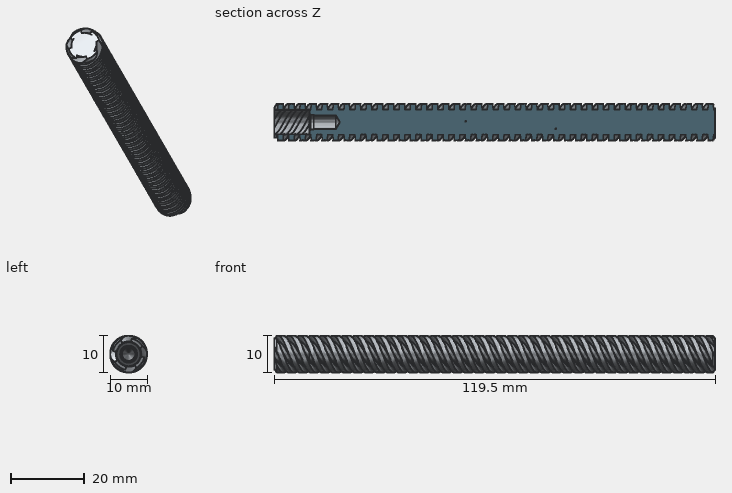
import cadquery as cq
import math

length = 119.5
major_diameter = 10.0
end_chamfer = 0.7
cutter_clearance = 1.2

root_diameter = 6.9
starts = 4
pitch = 3.0
crest_fraction = 0.5
root_fraction = 0.42
thread_phase = 36.0

counterbore_diameter = 6.5
counterbore_depth = 9.6
hole_mouth_diameter = 4.7
hole_entry_diameter = 4.0
hole_entry_depth = 1.2
hole_diameter = 3.6
hole_depth = 16.7
mouth_angle = 90.0
drill_tip_angle = 118.0

major_radius = major_diameter / 2
root_radius = root_diameter / 2
lead = starts * pitch


def polar(radius, angle):
    """Point at a radius and an angle in degrees."""
    return (radius * math.cos(math.radians(angle)), radius * math.sin(math.radians(angle)))


def cone_depth(large_diameter, small_diameter, included_angle):
    """Axial length of a cone between two diameters."""
    return (large_diameter - small_diameter) / 2 / math.tan(math.radians(included_angle / 2))


def thread_section():
    """Cross-section of the multi-start thread; straight axial flanks become spirals here."""
    sector = 360.0 / starts
    crest_angle = sector * crest_fraction
    root_angle = sector * root_fraction
    flank_angle = (sector - crest_angle - root_angle) / 2

    def flank(start_angle, start_radius, end_radius):
        rise = end_radius - start_radius
        return lambda t: polar(start_radius + rise * t, start_angle + flank_angle * t)

    edges = []
    for index in range(starts):
        crest_middle = thread_phase + index * sector
        crest_start = crest_middle - crest_angle / 2
        crest_end = crest_start + crest_angle
        root_start = crest_end + flank_angle
        root_end = root_start + root_angle
        outline = (
            cq.Workplane("YZ")
            .moveTo(*polar(major_radius, crest_start))
            .threePointArc(polar(major_radius, crest_middle), polar(major_radius, crest_end))
            .parametricCurve(flank(crest_end, major_radius, root_radius), N=12, makeWire=False)
            .moveTo(*polar(root_radius, root_start))
            .threePointArc(polar(root_radius, root_start + root_angle / 2), polar(root_radius, root_end))
            .parametricCurve(flank(root_end, root_radius, major_radius), N=12, makeWire=False)
        )
        edges += outline.ctx.pendingEdges
    return cq.Wire.assembleEdges(edges)


def threaded_rod():
    """Thread section twisted along X."""
    return cq.Workplane("YZ").add(thread_section()).toPending().twistExtrude(length, 360.0 * length / lead)


def rim_cutter():
    """Triangular ring that bevels the thread at the -X end, with clearance outside it."""
    reach = end_chamfer + cutter_clearance
    return (
        cq.Workplane("XY")
        .moveTo(-cutter_clearance, major_radius - reach)
        .lineTo(reach, major_radius + cutter_clearance)
        .lineTo(-cutter_clearance, major_radius + cutter_clearance)
        .close()
        .revolve(360, (0, 0, 0), (1, 0, 0))
    )


def centre_hole():
    """Counterbore followed by a bevelled, stepped hole with a drill-point bottom."""
    mouth_depth = cone_depth(hole_mouth_diameter, hole_entry_diameter, mouth_angle)
    step_position = counterbore_depth + hole_entry_depth
    tip_depth = cone_depth(hole_diameter, 0, drill_tip_angle)
    return (
        cq.Workplane("XY")
        .lineTo(0, counterbore_diameter / 2)
        .lineTo(counterbore_depth, counterbore_diameter / 2)
        .lineTo(counterbore_depth, hole_mouth_diameter / 2)
        .lineTo(counterbore_depth + mouth_depth, hole_entry_diameter / 2)
        .lineTo(step_position, hole_entry_diameter / 2)
        .lineTo(step_position, hole_diameter / 2)
        .lineTo(hole_depth, hole_diameter / 2)
        .lineTo(hole_depth + tip_depth, 0)
        .close()
        .revolve(360, (0, 0, 0), (1, 0, 0))
    )


near_rim = rim_cutter()
far_rim = near_rim.mirror("YZ").translate((length, 0, 0))

result = threaded_rod().cut(centre_hole()).cut(near_rim).cut(far_rim)